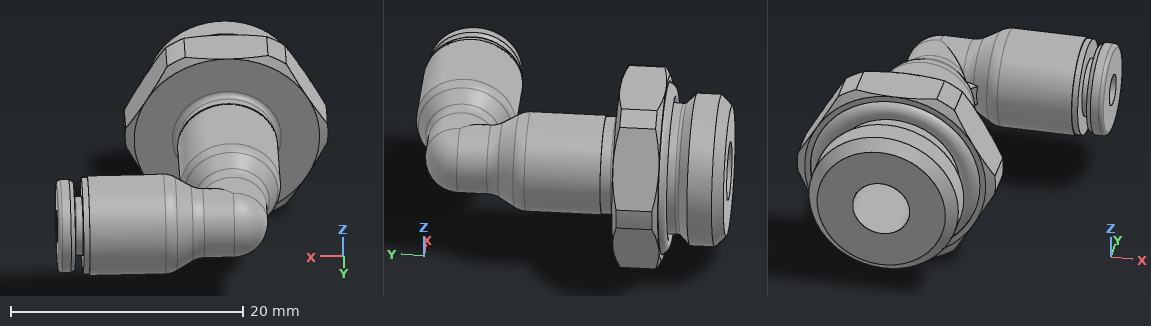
import cadquery as cq
import math


bend_radius = 2.98
barrel_radius = 4.3
flow_radius = 1.35
flare_start = 2.6
flare_angle = math.radians(30)
flare_blend = 2.0
leg_end = 12.5
web_height = 1.77
web_edge_sum = 7.4

ring_radius = 4.2
ring_end = 13.05
collet_neck_radius = 2.55
collet_neck_fillet = 0.15
flange_radius = 4.03
flange_start = 13.73
branch_end = 15.2
flange_chamfer_length = 0.4
flange_chamfer_depth = 0.22
flange_fillet = 0.33

stud_shank_radius = 4.23
shank_fillet = 0.47
hex_sides = 6
hex_start = 13.87
hex_end = 17.85
hex_across_flats = 16.0
hex_corner_radius = 8.75
hex_chamfer_angle = math.radians(30)
neck_radius = 5.65
neck_fillet = 0.45
thread_radius = 6.6
thread_start = 20.25
stud_end = 23.3
thread_chamfer = thread_radius - neck_radius
thread_chamfer_angle = math.radians(45)
stud_bore_radius = 2.5
bore_tip_angle = math.radians(60)

seal_projection = 0.64
seal_section_radius = 0.9
seal_center = hex_end + seal_projection - seal_section_radius
seal_radius = neck_radius + seal_section_radius
seal_groove_radius = seal_radius + seal_section_radius
seal_groove_floor = seal_center - seal_section_radius


def turned(profile):
    """Revolve a closed (distance, radius) profile about the X axis."""
    return profile.close().revolve(360, (0, 0, 0), (1, 0, 0))


def tube(start, end, outer, inner):
    """Make a plain hollow cylinder along +X."""
    return cq.Workplane("YZ").workplane(offset=start).circle(outer).circle(inner).extrude(end - start)


def along_stem(body):
    """Swing a body from the +X axis to the -Y axis."""
    return body.rotate((0, 0, 0), (0, 0, 1), -90)


def make_leg():
    """Make one solid leg: slim pipe, S-shaped flare, straight barrel."""
    blend_length = flare_blend * math.sin(flare_angle)
    blend_rise = flare_blend * (1 - math.cos(flare_angle))
    mid_length = flare_blend * math.sin(flare_angle / 2)
    mid_rise = flare_blend * (1 - math.cos(flare_angle / 2))
    cone_rise = barrel_radius - bend_radius - 2 * blend_rise
    cone_start = flare_start + blend_length
    cone_end = cone_start + cone_rise / math.tan(flare_angle)
    flare_end = cone_end + blend_length
    profile = (
        cq.Workplane("XY")
        .moveTo(0, 0)
        .lineTo(0, bend_radius)
        .lineTo(flare_start, bend_radius)
        .threePointArc(
            (flare_start + mid_length, bend_radius + mid_rise),
            (cone_start, bend_radius + blend_rise),
        )
        .lineTo(cone_end, barrel_radius - blend_rise)
        .threePointArc(
            (flare_end - mid_length, barrel_radius - mid_rise),
            (flare_end, barrel_radius),
        )
        .lineTo(leg_end, barrel_radius)
        .lineTo(leg_end, 0)
    )
    return turned(profile)


def make_web():
    """Make the thin web that fills the inner corner between the legs."""
    return (
        cq.Workplane("XY")
        .polyline([(0, 0), (web_edge_sum, 0), (0, -web_edge_sum)])
        .close()
        .extrude(web_height / 2, both=True)
    )


def make_elbow():
    """Join the legs with a ball at the outer corner and bore the bent flow passage."""
    leg = make_leg()
    passage = cq.Workplane("YZ").circle(flow_radius).extrude(leg_end)
    outside = (
        cq.Workplane("XY")
        .sphere(bend_radius)
        .union(leg)
        .union(along_stem(leg))
        .union(make_web())
    )
    inside = cq.Workplane("XY").sphere(flow_radius).union(passage).union(along_stem(passage))
    return outside.cut(inside)


def make_retaining_ring():
    """Make the ring that closes the branch leg around the collet neck."""
    return tube(leg_end, ring_end, ring_radius, collet_neck_radius)


def make_collet():
    """Make the release collet: a neck through the retaining ring and a rounded flange."""
    profile = (
        cq.Workplane("XY")
        .moveTo(leg_end, flow_radius)
        .lineTo(leg_end, collet_neck_radius)
        .lineTo(flange_start - collet_neck_fillet, collet_neck_radius)
        .radiusArc((flange_start, collet_neck_radius + collet_neck_fillet), -collet_neck_fillet)
        .lineTo(flange_start, flange_radius - flange_chamfer_depth)
        .lineTo(flange_start + flange_chamfer_length, flange_radius)
        .lineTo(branch_end - flange_fillet, flange_radius)
        .radiusArc((branch_end, flange_radius - flange_fillet), flange_fillet)
        .lineTo(branch_end, flow_radius)
    )
    return turned(profile)


def make_hexagon():
    """Make the hexagon with turned corners and both ends chamfered down to the flats."""
    flat_radius = hex_across_flats / 2
    hex_across_corners = hex_across_flats / math.cos(math.pi / hex_sides)
    chamfer_length = (hex_corner_radius - flat_radius) * math.tan(hex_chamfer_angle)
    blank = turned(
        cq.Workplane("XY")
        .moveTo(hex_start, 0)
        .lineTo(hex_start, flat_radius)
        .lineTo(hex_start + chamfer_length, hex_corner_radius)
        .lineTo(hex_end - chamfer_length, hex_corner_radius)
        .lineTo(hex_end, flat_radius)
        .lineTo(hex_end, 0)
    )
    prism = (
        cq.Workplane("YZ")
        .workplane(offset=hex_start)
        .polygon(hex_sides, hex_across_corners)
        .extrude(hex_end - hex_start)
    )
    return blank.intersect(prism)


def make_shank():
    """Make the plain shank, blended into the hexagon."""
    profile = (
        cq.Workplane("XY")
        .moveTo(leg_end, 0)
        .lineTo(leg_end, stud_shank_radius)
        .lineTo(hex_start - shank_fillet, stud_shank_radius)
        .radiusArc((hex_start, stud_shank_radius + shank_fillet), -shank_fillet)
        .lineTo(hex_start, 0)
    )
    return turned(profile)


def make_thread_end():
    """Make the neck below the hexagon and the plain thread with its 45 degree ends."""
    cone_foot = thread_start - thread_chamfer
    tangent_length = neck_fillet * math.tan(thread_chamfer_angle / 2)
    cone_step = tangent_length * math.cos(thread_chamfer_angle)
    profile = (
        cq.Workplane("XY")
        .moveTo(seal_groove_floor, 0)
        .lineTo(seal_groove_floor, neck_radius)
        .lineTo(cone_foot - tangent_length, neck_radius)
        .radiusArc((cone_foot + cone_step, neck_radius + cone_step), -neck_fillet)
        .lineTo(thread_start, thread_radius)
        .lineTo(stud_end - thread_chamfer, thread_radius)
        .lineTo(stud_end, neck_radius)
        .lineTo(stud_end, 0)
    )
    return turned(profile)


def make_stud_bore():
    """Make the cutter for the stud bore, which ends in a drill-tip cone at the flow passage."""
    taper_end = leg_end + (stud_bore_radius - flow_radius) / math.tan(bore_tip_angle)
    profile = (
        cq.Workplane("XY")
        .moveTo(leg_end, 0)
        .lineTo(leg_end, flow_radius)
        .lineTo(taper_end, stud_bore_radius)
        .lineTo(stud_end, stud_bore_radius)
        .lineTo(stud_end, 0)
    )
    return turned(profile)


def make_stud():
    """Assemble the stud: shank, grooved hexagon, neck and thread, with its bore."""
    seal_groove = tube(seal_groove_floor, hex_end, seal_groove_radius, neck_radius)
    stud = (
        make_hexagon()
        .cut(seal_groove)
        .union(make_shank())
        .union(make_thread_end())
        .cut(make_stud_bore())
    )
    return along_stem(stud)


def make_seal():
    """Make the sealing ring that rests in the groove of the hexagon."""
    return along_stem(
        cq.Workplane("XY")
        .center(seal_center, seal_radius)
        .circle(seal_section_radius)
        .revolve(360, (0, -seal_radius, 0), (1, -seal_radius, 0))
    )


elbow = make_elbow()
retaining_ring = make_retaining_ring()
collet = make_collet()
stud = make_stud()
seal = make_seal()

result = cq.Compound.makeCompound(
    [elbow.val(), retaining_ring.val(), collet.val(), stud.val(), seal.val()]
)